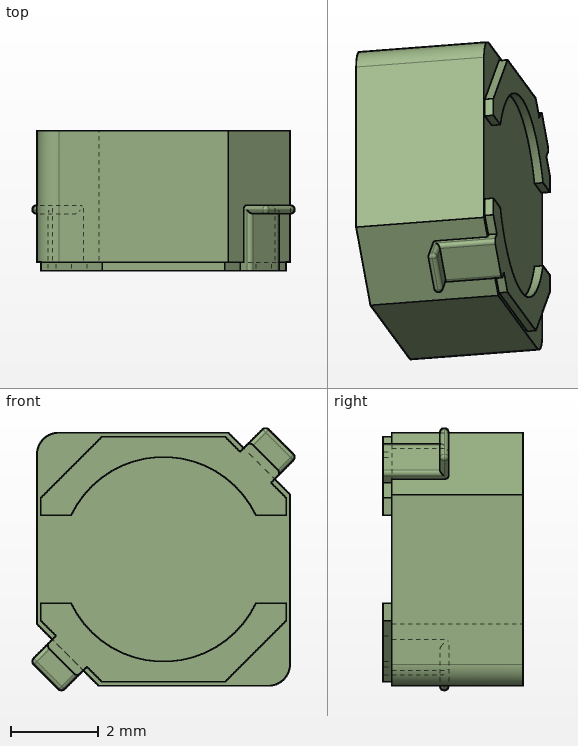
import cadquery as cq
import math

body_width = 5.78
body_depth = 3.0
corner_radius = 0.5
corner_chamfer_face = 2.0
corner_chamfer = corner_chamfer_face / math.sqrt(2)

plate_thickness = 0.2
plate_margin = 0.09
plate_width = body_width - 2 * plate_margin
plate_chamfer = 1.4
plate_gap = 2.0
plate_bore_radius = 2.335

overall_width = 5.99
strip_thickness = plate_thickness
strip_width = 1.0
strip_top = 1.5
strip_round = 0.0995

body_chamfer_reach = (body_width - corner_chamfer) / math.sqrt(2)
plate_chamfer_reach = (plate_width - plate_chamfer) / math.sqrt(2)
leg_face_reach = body_chamfer_reach + strip_thickness
ball_offset = strip_width / 2 - strip_round
ball_reach = (overall_width / 2 - strip_round) * math.sqrt(2) - ball_offset
lug_end_reach = ball_reach + strip_round
lug_middle = strip_top - strip_thickness / 2
strip_span = (-strip_width / 2, strip_width / 2)
strip_overlap = 0.3

terminal_diagonal = cq.Vector(1, 0, 1)
rounded_diagonal = cq.Vector(1, 0, -1)
corner_angles = (-45, 135)


def span_box(x_range, y_range, z_range):
    """Box between the given limits."""
    size = [high - low for low, high in (x_range, y_range, z_range)]
    start = (x_range[0], y_range[0], z_range[0])
    return cq.Workplane("XY").box(*size, centered=False).translate(start)


def square_prism(width, y_start, depth):
    """Square block about the Y axis, from y_start toward +Y."""
    half = width / 2
    return span_box((-half, half), (y_start, y_start + depth), (-half, half))


def make_body():
    """Block chamfered on the two terminal corners and rounded on the other two."""
    block = square_prism(body_width, plate_thickness, body_depth)
    chamfered_corners = cq.selectors.SumSelector(
        cq.DirectionMinMaxSelector(terminal_diagonal, True),
        cq.DirectionMinMaxSelector(terminal_diagonal, False),
    )
    block = block.edges("|Y").edges(chamfered_corners).chamfer(corner_chamfer)
    rounded_corners = cq.selectors.SumSelector(
        cq.DirectionMinMaxSelector(rounded_diagonal, True),
        cq.DirectionMinMaxSelector(rounded_diagonal, False),
    )
    return block.edges("|Y").edges(rounded_corners).fillet(corner_radius)


def make_plates():
    """Octagonal plate with a round bore, split by a straight gap along X."""
    plate = square_prism(plate_width, 0, plate_thickness).edges("|Y").chamfer(plate_chamfer)
    bore = cq.Workplane("XZ").circle(plate_bore_radius).extrude(-plate_thickness)
    gap = span_box((-plate_width, plate_width), (0, plate_thickness), (-plate_gap / 2, plate_gap / 2))
    return plate.cut(bore).cut(gap)


def make_lug():
    """Outward end of the strip, rounded on every edge away from the body."""
    lug = span_box((body_chamfer_reach, lug_end_reach), (strip_top - strip_thickness, strip_top), strip_span)
    return lug.edges("not <X").fillet(strip_round)


def make_terminal():
    """Bent strip reaching out along +X."""
    foot = span_box((plate_chamfer_reach - strip_overlap, body_chamfer_reach), (0, plate_thickness), strip_span)
    leg = span_box((body_chamfer_reach, leg_face_reach), (0, lug_middle), strip_span)
    leg = leg.edges("|Y and >X").fillet(strip_round)
    return foot.union(leg).union(make_lug())


result = make_body().union(make_plates())
terminal = make_terminal()
for angle in corner_angles:
    result = result.union(terminal.rotate((0, 0, 0), (0, 1, 0), angle))